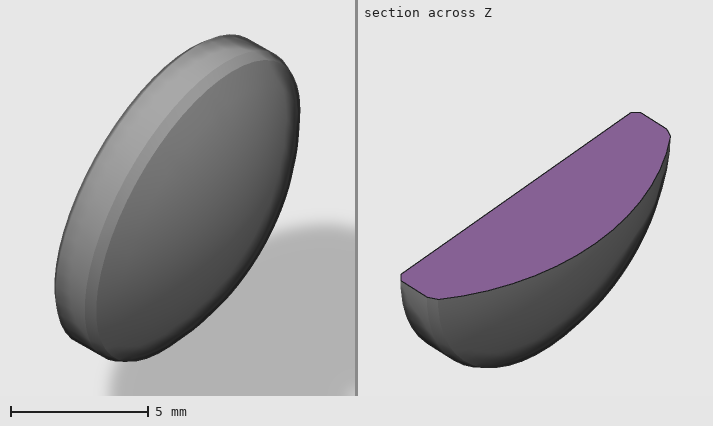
import cadquery as cq
import math

diameter = 12.7
thickness = 4.0
back_chamfer = 0.25
front_bevel_length = 0.38
front_bevel_depth = 0.19
dome_start = 1.95

radius = diameter / 2
rim_end = dome_start - front_bevel_length
dome_base_radius = radius - front_bevel_depth

dome_height = thickness - dome_start
sphere_radius = (dome_base_radius**2 + dome_height**2) / (2 * dome_height)
sphere_center = thickness - sphere_radius
half_angle = math.asin(dome_base_radius / sphere_radius) / 2
dome_middle = (
    sphere_center + sphere_radius * math.cos(half_angle),
    sphere_radius * math.sin(half_angle),
)

half_section = (
    cq.Workplane("XY")
    .lineTo(0, radius - back_chamfer)
    .lineTo(back_chamfer, radius)
    .lineTo(rim_end, radius)
    .lineTo(dome_start, dome_base_radius)
    .threePointArc(dome_middle, (thickness, 0))
    .close()
)
result = half_section.revolve(360, (0, 0, 0), (1, 0, 0))